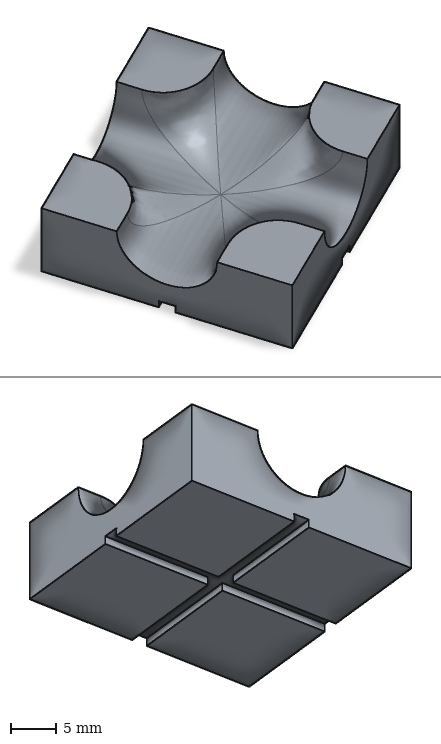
import cadquery as cq

side = 30.0
height = side / 3
channel_radius = side / 5
blend_radius = channel_radius

slot_width = side / 15
slot_depth = side / 30

tolerance = 0.003


def on_channel_crossing(edge):
    """True for a curved edge where the two channels meet, along |x| = |y|."""
    middle = edge.positionAt(0.5)
    return edge.geomType() != "LINE" and abs(abs(middle.x) - abs(middle.y)) < tolerance


def cut_channels(body):
    """Cut a half-round channel along X and another along Y, with axes in the top face."""
    for plane in ("YZ", "XZ"):
        channel = (
            cq.Workplane(plane)
            .center(0, height)
            .circle(channel_radius)
            .extrude(side, both=True)
        )
        body = body.cut(channel)
    return body


def blend_crossing(body):
    """Round the four sharp edges where the channels meet."""
    crossing_edges = [edge for edge in body.edges().vals() if on_channel_crossing(edge)]
    return body.newObject(crossing_edges).fillet(blend_radius)


def cut_slots(body):
    """Cut one slot along X and one along Y through the bottom face."""
    for length, width in ((side, slot_width), (slot_width, side)):
        slot = cq.Workplane("XY").box(length, width, slot_depth, centered=(True, True, False))
        body = body.cut(slot)
    return body


block = cq.Workplane("XY").box(side, side, height, centered=(True, True, False))
result = cut_slots(blend_crossing(cut_channels(block)))